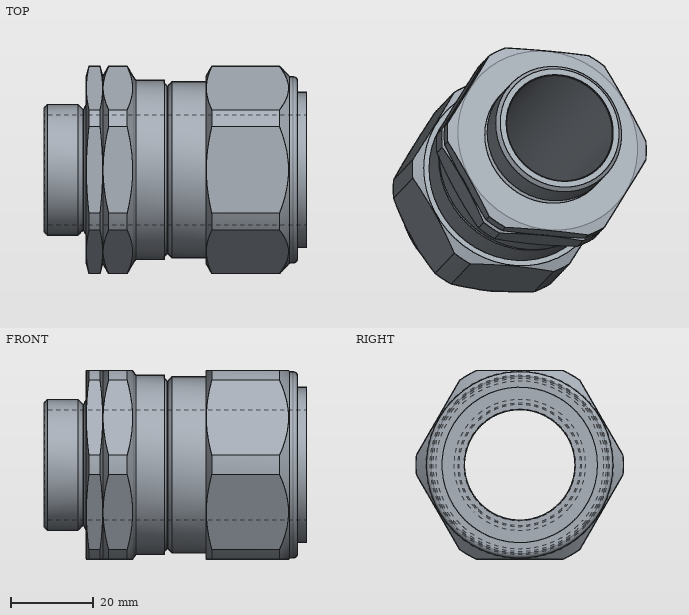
import cadquery as cq
import math

length = 63.95

across_flats = 46.0
corner_radius = 25.29
hex_face_radius = 22.8
corner_height = corner_radius - hex_face_radius
shallow_angle = 15.0
steep_angle = 30.0

bore_radius = 13.4
bore_chamfer = 0.2

thread_radius = 16.0
thread_chamfer = 0.9
thread_end = 8.25
thread_groove_start = 9.45
thread_groove_end = 9.65
thread_groove_radius = thread_radius - (thread_groove_start - thread_end)

locknut_start = 10.3
body_hex_start = 14.3
body_hex_end = 21.9
body_corner_end = 20.3

collar_start = 22.4
collar_end = 29.35
collar_radius = 21.9
collar_step_radius = 21.1

groove_start = 30.0
groove_end = 30.2
groove_radius = 20.45
barrel_start = 31.2
barrel_radius = 21.5

cap_start = 39.45
cap_corner_end = 57.35
cap_rim_start = 59.85
cap_rim_radius = 22.7
cap_end = 61.8
rim_rounding = 1.1

ring_radius = 18.9


def chamfer_length(angle):
    """Length along X of a corner chamfer, its angle measured from the end face."""
    return corner_height * math.tan(math.radians(angle))


def turned(points):
    """Solid of revolution about X below an outline of (x, radius) points."""
    outline = [(points[0][0], 0)] + points + [(points[-1][0], 0)]
    return cq.Workplane("XY").polyline(outline).close().revolve(360, (0, 0, 0), (1, 0, 0))


def hexagon(points):
    """Hexagonal bar trimmed by a turned outline, which forms its corner chamfers."""
    start = points[0][0]
    end = points[-1][0]
    across_corners = across_flats / math.cos(math.radians(30))
    bar = cq.Workplane("YZ", origin=(start, 0, 0)).polygon(6, across_corners).extrude(end - start)
    return bar.intersect(turned(points))


core = turned([
    (0, thread_radius - thread_chamfer),
    (thread_chamfer, thread_radius),
    (thread_end, thread_radius),
    (thread_groove_start, thread_groove_radius),
    (thread_groove_end, thread_groove_radius),
    (locknut_start, thread_radius),
    (body_hex_start, thread_radius),
    (body_hex_start, collar_radius),
    (collar_end, collar_radius),
    (collar_end, collar_step_radius),
    (groove_start, groove_radius),
    (groove_end, groove_radius),
    (barrel_start, barrel_radius),
    (cap_start, barrel_radius),
    (cap_start, ring_radius),
    (length, ring_radius),
])

locknut_chamfer = chamfer_length(shallow_angle)
locknut = hexagon([
    (locknut_start, hex_face_radius),
    (locknut_start + locknut_chamfer, corner_radius),
    (body_hex_start - locknut_chamfer, corner_radius),
    (body_hex_start, hex_face_radius),
])

hex_end_radius = corner_radius - (body_hex_end - body_corner_end) / math.tan(math.radians(steep_angle))
body_hex = hexagon([
    (body_hex_start, hex_face_radius),
    (body_hex_start + chamfer_length(steep_angle), corner_radius),
    (body_corner_end, corner_radius),
    (body_hex_end, hex_end_radius),
    (collar_start, collar_radius),
])

cap = hexagon([
    (cap_start, hex_face_radius),
    (cap_start + chamfer_length(steep_angle), corner_radius),
    (cap_corner_end, corner_radius),
    (cap_rim_start, cap_rim_radius),
    (cap_end, cap_rim_radius),
])
cap = cap.faces(">X").edges().fillet(rim_rounding)

bore = turned([
    (0, bore_radius + bore_chamfer),
    (bore_chamfer, bore_radius),
    (length, bore_radius),
])

result = core.union(locknut).union(body_hex).union(cap).cut(bore)